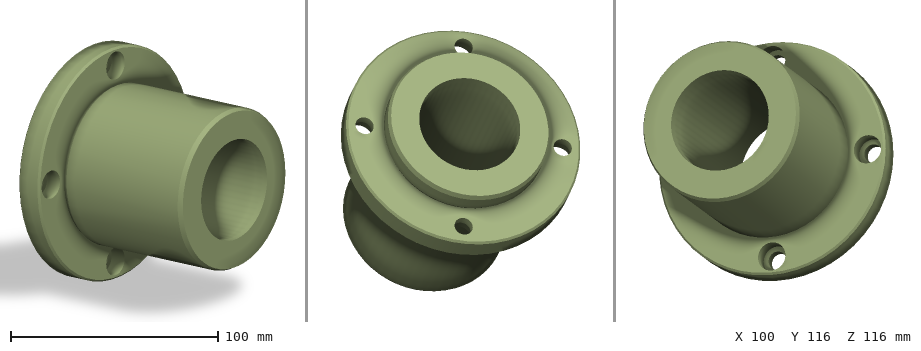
import cadquery as cq

length = 100.0
body_diameter = 80.0
bore_diameter = 50.0

taper_length = 2.35
taper_depth = 1.1

flange_diameter = 116.0
flange_start = 13.0
flange_thickness = 13.0
flange_chamfer = 1.0

hole_count = 4
hole_diameter = 9.0
bolt_circle_diameter = 98.0
counterbore_diameter = 14.0
counterbore_depth = 8.1

body_radius = body_diameter / 2
bore_radius = bore_diameter / 2
taper_radius = body_radius - taper_depth
flange_radius = flange_diameter / 2
flange_end = flange_start + flange_thickness


def make_sleeve_and_flange():
    """Revolve the half section: X runs along the axis, Y is the radius."""
    return (
        cq.Workplane("XY")
        .moveTo(0, bore_radius)
        .lineTo(0, taper_radius)
        .lineTo(taper_length, body_radius)
        .lineTo(flange_start - taper_length, body_radius)
        .lineTo(flange_start, taper_radius)
        .lineTo(flange_start, flange_radius - flange_chamfer)
        .lineTo(flange_start + flange_chamfer, flange_radius)
        .lineTo(flange_end - flange_chamfer, flange_radius)
        .lineTo(flange_end, flange_radius - flange_chamfer)
        .lineTo(flange_end, taper_radius)
        .lineTo(flange_end + taper_length, body_radius)
        .lineTo(length - taper_length, body_radius)
        .lineTo(length, taper_radius)
        .lineTo(length, bore_radius)
        .close()
        .revolve(360, (0, 0), (1, 0))
    )


def drill_flange(part):
    """Drill the screw holes through the flange and counterbore their +X ends."""
    holes = (
        cq.Workplane("YZ", origin=(flange_start, 0, 0))
        .polarArray(bolt_circle_diameter / 2, 0, 360, hole_count)
        .circle(hole_diameter / 2)
        .extrude(flange_thickness)
    )
    counterbores = (
        cq.Workplane("YZ", origin=(flange_end - counterbore_depth, 0, 0))
        .polarArray(bolt_circle_diameter / 2, 0, 360, hole_count)
        .circle(counterbore_diameter / 2)
        .extrude(counterbore_depth)
    )
    return part.cut(holes).cut(counterbores)


result = drill_flange(make_sleeve_and_flange())